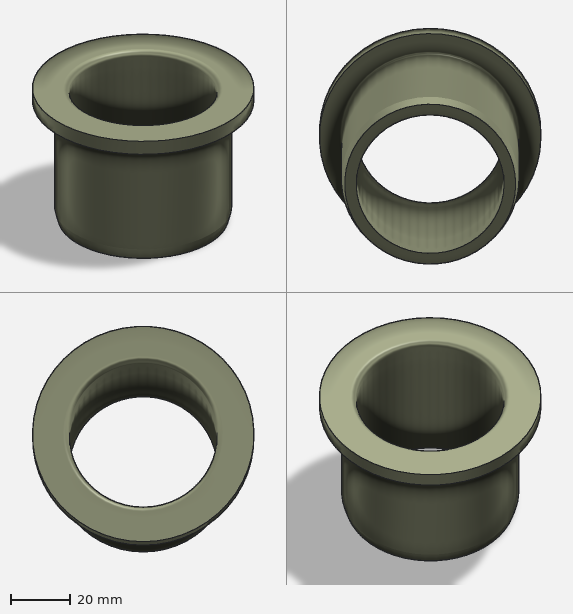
import cadquery as cq
import math

flange_diameter = 75.0
body_diameter = 60.0
bore_diameter = 50.0
total_height = 50.0
flange_thickness = 5.0
bore_round_radius = 2.0
neck_fillet_radius = 1.0
lead_in_height = 4.0
lead_in_angle = 15.0
quarter_middle_angle = 135.0

flange_radius = flange_diameter / 2
body_radius = body_diameter / 2
bore_radius = bore_diameter / 2
flange_underside = total_height - flange_thickness
lead_in_depth = lead_in_height * math.tan(math.radians(lead_in_angle))


def arc_middle(center_x, center_z, radius):
    """Upper-inner point of a circle, halfway along its quarter round."""
    return (
        center_x + radius * math.cos(math.radians(quarter_middle_angle)),
        center_z + radius * math.sin(math.radians(quarter_middle_angle)),
    )


neck_fillet_middle = arc_middle(
    body_radius + neck_fillet_radius,
    flange_underside - neck_fillet_radius,
    neck_fillet_radius,
)
bore_round_middle = arc_middle(
    bore_radius + bore_round_radius,
    total_height - bore_round_radius,
    bore_round_radius,
)

result = (
    cq.Workplane("XZ")
    .moveTo(bore_radius, 0)
    .lineTo(body_radius - lead_in_depth, 0)
    .lineTo(body_radius, lead_in_height)
    .lineTo(body_radius, flange_underside - neck_fillet_radius)
    .threePointArc(neck_fillet_middle, (body_radius + neck_fillet_radius, flange_underside))
    .lineTo(flange_radius, flange_underside)
    .lineTo(flange_radius, total_height)
    .lineTo(bore_radius + bore_round_radius, total_height)
    .threePointArc(bore_round_middle, (bore_radius, total_height - bore_round_radius))
    .close()
    .revolve(360, (0, 0, 0), (0, 1, 0))
)